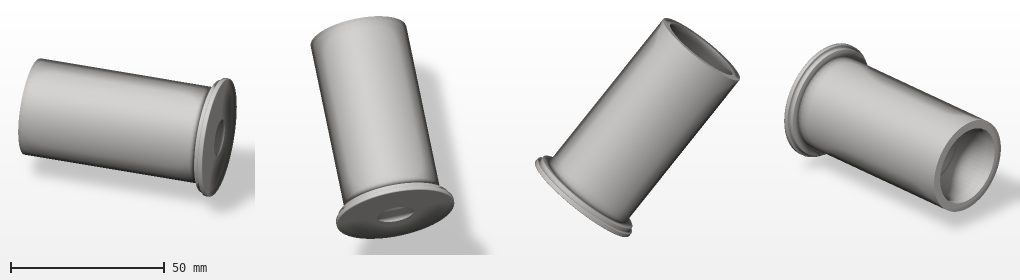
import cadquery as cq

length = 63.5
rim_width = 1.5
collar_width = 1.5

tube_diameter = 31.75
collar_diameter = 37.0
rim_diameter = 39.0
mouth_diameter = 26.0
bore_diameter = 25.0
outlet_diameter = 12.0

front_edge_radius = 0.2
end_edge_radius = 0.3
inner_corner_radius = 0.3

mouth_depth = 16.0
bore_start = mouth_depth + (mouth_diameter - bore_diameter) / 2
funnel_start = length - (bore_diameter - outlet_diameter) / 2

rim_start = length - rim_width
collar_start = rim_start - collar_width


def revolve_about_x(half_section):
    """Solid of revolution about the X axis from a closed half section."""
    return half_section.close().revolve(360, (0, 0, 0), (1, 0, 0))


def flange():
    """Collar and rim with rounded edges and a rounded corner between them."""
    collar_radius = collar_diameter / 2
    rim_radius = rim_diameter / 2
    half_section = (
        cq.Workplane("XY")
        .moveTo(collar_start, 0)
        .lineTo(collar_start, collar_radius - front_edge_radius)
        .radiusArc((collar_start + front_edge_radius, collar_radius), front_edge_radius)
        .lineTo(rim_start - inner_corner_radius, collar_radius)
        .radiusArc((rim_start, collar_radius + inner_corner_radius), -inner_corner_radius)
        .lineTo(rim_start, rim_radius - front_edge_radius)
        .radiusArc((rim_start + front_edge_radius, rim_radius), front_edge_radius)
        .lineTo(length - end_edge_radius, rim_radius)
        .radiusArc((length, rim_radius - end_edge_radius), end_edge_radius)
        .lineTo(length, 0)
    )
    return revolve_about_x(half_section)


def passage():
    """Stepped hollow: mouth, short taper, bore and funnel to the outlet."""
    half_section = (
        cq.Workplane("XY")
        .moveTo(0, 0)
        .lineTo(0, mouth_diameter / 2)
        .lineTo(mouth_depth, mouth_diameter / 2)
        .lineTo(bore_start, bore_diameter / 2)
        .lineTo(funnel_start, bore_diameter / 2)
        .lineTo(length, outlet_diameter / 2)
        .lineTo(length, 0)
    )
    return revolve_about_x(half_section)


tube = cq.Workplane("YZ").circle(tube_diameter / 2).extrude(rim_start)

result = tube.union(flange()).cut(passage())